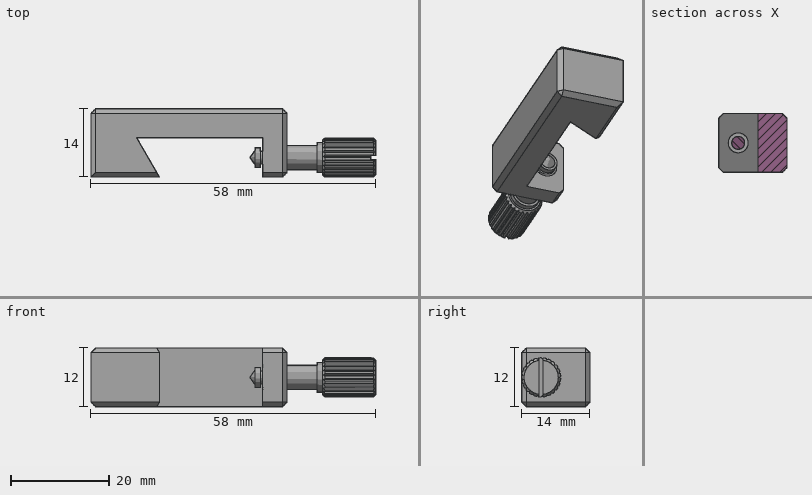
import cadquery as cq
import math

clamp_length = 39.95
clamp_depth = 14.0
clamp_thickness = 12.0
clamp_chamfer = 1.0
leg_thickness = 5.0
channel_depth = 8.0
jaw_tip_length = 14.0
jaw_angle = 60.0

knob_radius = 4.0
axis_y = knob_radius
axis_z = clamp_thickness / 2
leg_face_x = clamp_length - leg_thickness

tip_x = 32.35
flange_start_x = 33.4
flange_end_x = 34.5
stem_end_x = clamp_length
collar_start_x = 46.05
knob_start_x = 47.1
screw_end_x = 58.0

cone_radius = 1.5
flange_radius = 2.05
neck_radius = 1.35
stem_radius = 2.1
shaft_radius = 2.5
collar_radius = 3.1

knob_chamfer = 0.5
groove_count = 25
groove_depth = 0.26
slot_width = 0.8
slot_depth = 1.0


def cylinder(radius, start_x, end_x):
    """Cylinder about the screw axis between two X stations."""
    return (
        cq.Workplane("YZ", origin=(start_x, axis_y, axis_z))
        .circle(radius)
        .extrude(end_x - start_x)
    )


def make_clamp():
    block = cq.Workplane("XY").box(clamp_length, clamp_depth, clamp_thickness, centered=False)
    block = block.edges("|X or |Y or (|Z and (>X or >Y))").chamfer(clamp_chamfer)

    jaw_root_length = jaw_tip_length - channel_depth / math.tan(math.radians(jaw_angle))
    channel = (
        cq.Workplane("XY")
        .moveTo(jaw_tip_length, 0)
        .lineTo(leg_face_x, 0)
        .lineTo(leg_face_x, channel_depth)
        .lineTo(jaw_root_length, channel_depth)
        .close()
        .extrude(clamp_thickness)
    )
    return block.cut(channel).cut(cylinder(shaft_radius, leg_face_x, clamp_length))


def make_tip_pin():
    """Pointed pin whose stem is set in the end of the shaft, flush with the inner face of the leg."""
    profile = [
        (tip_x, 0),
        (flange_start_x, cone_radius),
        (flange_start_x, flange_radius),
        (flange_end_x, flange_radius),
        (flange_end_x, neck_radius),
        (leg_face_x, neck_radius),
        (leg_face_x, 0),
    ]
    tip = (
        cq.Workplane("XZ", origin=(0, axis_y, axis_z))
        .polyline(profile)
        .close()
        .revolve(360, (0, 0, 0), (1, 0, 0))
    )
    return tip.union(cylinder(stem_radius, leg_face_x, stem_end_x))


def make_knob():
    """Chamfered cylinder with straight V grooves along X and a driver slot in its end."""
    knob = cylinder(knob_radius, knob_start_x, screw_end_x)
    knob = knob.faces("<X or >X").edges().chamfer(knob_chamfer)

    root_radius = knob_radius - groove_depth
    rim_radius = knob_radius + groove_depth
    half_width = rim_radius - root_radius
    groove = (
        cq.Workplane("YZ", origin=(knob_start_x, axis_y, axis_z))
        .moveTo(-root_radius, 0)
        .lineTo(-rim_radius, half_width)
        .lineTo(-rim_radius, -half_width)
        .close()
        .extrude(screw_end_x - knob_start_x)
    )
    pitch_angle = 360.0 / groove_count
    axis_start = (knob_start_x, axis_y, axis_z)
    axis_end = (screw_end_x, axis_y, axis_z)
    for index in range(groove_count):
        knob = knob.cut(groove.rotate(axis_start, axis_end, (index + 0.5) * pitch_angle))

    slot = cq.Workplane("XY", origin=(screw_end_x - slot_depth / 2, axis_y, axis_z)).box(
        slot_depth, slot_width, 2 * knob_radius
    )
    return knob.cut(slot)


def make_screw():
    shaft = cylinder(shaft_radius, leg_face_x, collar_start_x)
    collar = cylinder(collar_radius, collar_start_x, knob_start_x)
    stem_bore = cylinder(stem_radius, leg_face_x, stem_end_x)
    return shaft.union(collar).union(make_knob()).cut(stem_bore)


clamp = make_clamp()
tip_pin = make_tip_pin()
screw = make_screw()

result = cq.Compound.makeCompound([clamp.val(), tip_pin.val(), screw.val()])